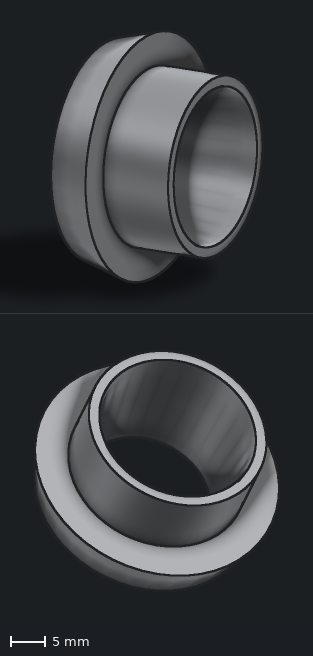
import cadquery as cq
import math

flange_diameter = 37.0
hub_diameter = 26.9
bore_diameter = 20.0
total_length = 18.0
flange_length = 7.0
flange_taper_angle = 15.0

land_length = 1.0
bore_end_diameter = 23.7

flange_radius = flange_diameter / 2
face_radius = flange_radius - flange_length * math.tan(math.radians(flange_taper_angle))
hub_radius = hub_diameter / 2
bore_radius = bore_diameter / 2
bore_end_radius = bore_end_diameter / 2

half_section = (
    cq.Workplane("XZ")
    .moveTo(0, -bore_radius)
    .lineTo(0, -face_radius)
    .lineTo(flange_length, -flange_radius)
    .lineTo(flange_length, -hub_radius)
    .lineTo(total_length, -hub_radius)
    .lineTo(total_length, -bore_end_radius)
    .lineTo(land_length, -bore_radius)
    .close()
)

result = half_section.revolve(360, (0, 0, 0), (1, 0, 0))